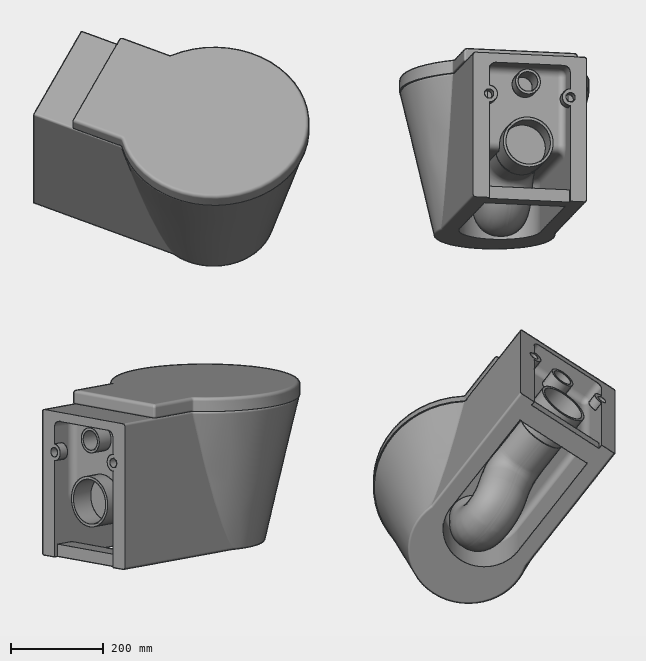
import cadquery as cq
import math

length = 577.0
body_height = 320.0
box_width = 250.5
rim_radius = 205.0
foot_radius = 130.0
lid_x = length - rim_radius
bowl_x = 370.5
edge_round = 5.0
tolerance = 0.05

lid_height = 30.0
lid_back_x = 91.5
lid_top_round = 7.5
lid_bottom_round = 3.5

recess_width = 178.0
recess_top = 300.0
recess_depth = 56.5
recess_round = 15.0
ceiling_z = 120.0
slot_arc_x = 311.5
bar_front_x = 10.0
bar_depth = 44.0
bar_height = 27.0

boss_spacing = 180.0
boss_z = 230.0
boss_diameter = 37.0
boss_length = 22.5
bolt_hole_diameter = 20.0
bolt_hole_depth = 20.0
inlet_face_x = 20.0
inlet_z = 265.5
inlet_diameter = 55.0
inlet_bore = 43.0
inlet_bore_depth = 57.5
outlet_face_x = 18.0
outlet_z = 131.0
outlet_diameter = 110.0
outlet_bore = 98.0
outlet_bore_depth = 53.0
outlet_length = 81.0

trap_flat = 7.0
trap_diameter = outlet_diameter - trap_flat
trap_tilt = math.radians(27)
trap_bottom_x = 295.5
trap_bottom_z = -14.5
bend_radius = 52.0
elbow_radius = 70.5


def x_cylinder(diameter, start_x, depth, y, z):
    """Cylinder along +X that starts at start_x."""
    return cq.Workplane("YZ", origin=(start_x, y, z)).circle(diameter / 2).extrude(depth)


def outer_shell():
    """Square box blended into a tapered round bowl, with rounded edges."""
    box = cq.Workplane("XY").box(bowl_x, box_width, body_height, centered=(False, True, False))
    bowl = (
        cq.Workplane("XY", origin=(bowl_x, 0, 0))
        .circle(foot_radius)
        .workplane(offset=body_height)
        .circle(rim_radius)
        .loft()
    )
    shell = box.union(bowl)
    wall_face_edges = shell.faces("<X").edges().vals()
    rounded = [e for e in shell.edges().vals() if not any(e.isSame(w) for w in wall_face_edges)]
    return shell.newObject(rounded).fillet(edge_round)


def recess():
    """Void behind the wall face: a shallow upper pocket over a deep, open-bottomed slot."""
    upper = cq.Workplane("XY").box(recess_depth, recess_width, recess_top, centered=(False, True, False))
    slot = (
        cq.Workplane("XY")
        .moveTo(0, -recess_width / 2)
        .lineTo(slot_arc_x, -recess_width / 2)
        .threePointArc((slot_arc_x + recess_width / 2, 0), (slot_arc_x, recess_width / 2))
        .lineTo(0, recess_width / 2)
        .close()
        .extrude(ceiling_z)
    )
    void = upper.union(slot)
    centers = [(e, e.Center()) for e in void.edges().vals()]
    rounded = [e for e, c in centers if c.x > tolerance and c.z > ceiling_z - tolerance]
    return void.newObject(rounded).fillet(recess_round)


def trap_pipe():
    """Drain line: level run, elbow down, straight leg, U-bend, and a rising leg into the bowl."""
    cos_t = math.cos(trap_tilt)
    sin_t = math.sin(trap_tilt)
    bend_z = trap_bottom_z + trap_diameter / 2 + bend_radius
    elbow_z = outlet_z - elbow_radius
    leg_length = (elbow_z + (elbow_radius + bend_radius) * sin_t - bend_z) / cos_t
    leg_end = (trap_bottom_x - bend_radius * cos_t, bend_z - bend_radius * sin_t)
    leg_start = (leg_end[0] - leg_length * sin_t, leg_end[1] + leg_length * cos_t)
    elbow_x = leg_start[0] - elbow_radius * cos_t
    half_turn = (math.pi / 2 + trap_tilt) / 2
    elbow_middle = (
        elbow_x + elbow_radius * math.cos(half_turn),
        elbow_z + elbow_radius * math.sin(half_turn),
    )
    run_start_x = outlet_face_x + outlet_bore_depth
    path = (
        cq.Workplane("XZ")
        .moveTo(run_start_x, outlet_z)
        .lineTo(elbow_x, outlet_z)
        .threePointArc(elbow_middle, leg_start)
        .lineTo(*leg_end)
        .threePointArc((trap_bottom_x, bend_z - bend_radius), (trap_bottom_x + bend_radius, bend_z))
        .lineTo(trap_bottom_x + bend_radius, ceiling_z + recess_round)
    )
    return (
        cq.Workplane("YZ", origin=(run_start_x, 0, outlet_z))
        .slot2D(trap_diameter + trap_flat, trap_diameter)
        .sweep(path)
    )


def make_body():
    body = outer_shell().cut(recess())

    bar = cq.Workplane("XY").box(bar_depth, recess_width, bar_height, centered=(False, True, False))
    body = body.union(bar.translate((bar_front_x, 0, 0)))

    body = body.union(trap_pipe())
    body = body.union(x_cylinder(outlet_diameter, outlet_face_x, outlet_length, 0, outlet_z))
    body = body.cut(x_cylinder(outlet_bore, outlet_face_x, outlet_bore_depth, 0, outlet_z))

    inlet_length = recess_depth - inlet_face_x
    body = body.union(x_cylinder(inlet_diameter, inlet_face_x, inlet_length, 0, inlet_z))
    body = body.cut(x_cylinder(inlet_bore, inlet_face_x, inlet_bore_depth, 0, inlet_z))

    for side in (-1, 1):
        boss_y = side * boss_spacing / 2
        body = body.union(x_cylinder(boss_diameter, 0, boss_length, boss_y, boss_z))
        body = body.cut(x_cylinder(bolt_hole_diameter, 0, bolt_hole_depth, boss_y, boss_z))
    return body


def make_lid():
    """Round lid with a straight neck as wide as the box; only the neck is rounded underneath."""
    neck = (
        cq.Workplane("XY", origin=(lid_back_x, 0, 0))
        .box(lid_x - lid_back_x, box_width, lid_height, centered=(False, True, False))
        .edges("|Z and <X").fillet(edge_round)
        .faces("<Z").edges("not >X").fillet(lid_bottom_round)
    )
    disc = cq.Workplane("XY").center(lid_x, 0).circle(rim_radius).extrude(lid_height)
    lid = neck.union(disc)
    corner_x = lid_x - math.sqrt(rim_radius**2 - (box_width / 2) ** 2)
    corners = cq.selectors.BoxSelector(
        (corner_x - edge_round, -box_width, 0), (corner_x + edge_round, box_width, lid_height)
    )
    lid = lid.edges("|Z").edges(corners).fillet(edge_round)
    lid = lid.faces(">Z").edges().fillet(lid_top_round)
    return lid.translate((0, 0, body_height))


body = make_body()
lid = make_lid()
result = cq.Compound.makeCompound([body.val(), lid.val()])